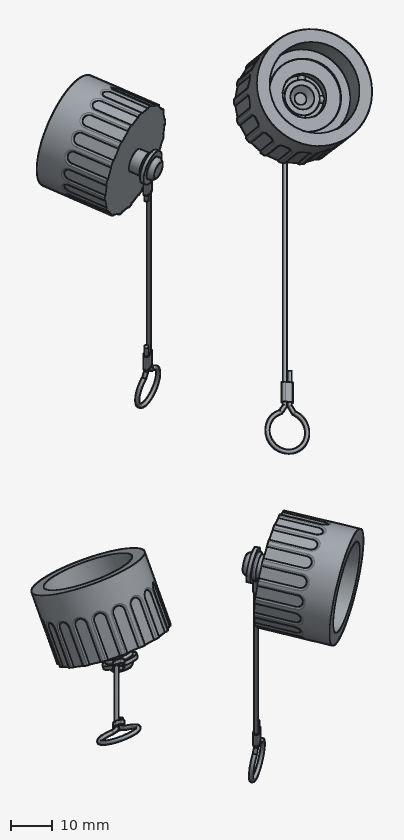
import cadquery as cq
import math

cap_diameter = 29.0
cap_length = 19.0
bore_diameter = 22.6
bore_depth = 7.7
recess_diameter = 18.1
recess_depth = 0.6
pocket_diameter = 11.0
pocket_depth = 2.4

hub_diameter = 8.8
hub_height = 0.6
ridge_count = 4
ridge_radius = 1.0
hub_hole_diameter = 6.0
hub_hole_end_diameter = 3.0
hub_hole_depth = 1.5

slot_count = 18
slot_start = 7.0
slot_floor_width = 3.0
slot_floor_radius = 14.1
slot_wall_angle = 45.0
slot_edge_radius = 0.6

stud_diameter = 6.0
stud_end = 25.5
stud_nose_start = 24.1
stud_tip_diameter = 4.3
washer_diameter = 8.8
washer_start = 22.9
washer_thickness = 1.0

cord_diameter = 1.1
cord_x = 22.5
strand_offset = 0.6
neck_loop_radius = 3.0
end_loop_radius = 5.0
lowest_z = -85.5
crimp_length = 4.9
crimp_width = 2.9
crimp_thickness = 1.5
upper_crimp_top = -4.6
upper_tail_end = -11.8
lower_crimp_top = -67.8
lower_tail_end = -64.9
fork_z = -73.6
fork_half_width = 1.7

lower_crimp_bottom = lower_crimp_top - crimp_length
end_loop_z = lowest_z + end_loop_radius + cord_diameter / 2
recess_floor = bore_depth + recess_depth
pocket_floor = recess_floor + pocket_depth
hub_face = pocket_floor - hub_height


def rod(diameter, start, end):
    """Cylinder on the X axis between two X positions."""
    return cq.Workplane("YZ", origin=(start, 0, 0)).circle(diameter / 2).extrude(end - start)


def grip_slot():
    """Round-ended slot with sloping walls, at the +Z side of the cap."""
    depth = cap_diameter / 2 - slot_floor_radius
    wall_run = depth * math.tan(math.radians(slot_wall_angle))
    half_width = slot_floor_width / 2
    overrun = 2 * half_width
    first_x = slot_start + wall_run
    return (
        cq.Workplane("XY", origin=(0, 0, slot_floor_radius))
        .moveTo(cap_length + overrun, -half_width)
        .lineTo(first_x + half_width, -half_width)
        .threePointArc((first_x, 0), (first_x + half_width, half_width))
        .lineTo(cap_length + overrun, half_width)
        .close()
        .extrude(2 * depth, taper=-slot_wall_angle)
    )


def make_cap():
    cap = rod(cap_diameter, 0, cap_length)
    slot = grip_slot()
    for index in range(slot_count):
        cap = cap.cut(slot.rotate((0, 0, 0), (1, 0, 0), index * 360 / slot_count))
    cap = cap.faces("%CYLINDER").edges("%BSPLINE").fillet(slot_edge_radius)
    cap = cap.cut(rod(bore_diameter, 0, bore_depth))
    cap = cap.cut(rod(recess_diameter, 0, recess_floor))
    cap = cap.cut(rod(pocket_diameter, 0, pocket_floor))
    return cap


def make_hub():
    """Hub with a tapered blind hole and radial ridges reaching the pocket wall."""
    hub = rod(hub_diameter, hub_face, pocket_floor)
    ridge = (
        cq.Workplane("XY", origin=(pocket_floor + ridge_radius - hub_height, 0, 0))
        .circle(ridge_radius)
        .extrude(pocket_diameter / 2)
    )
    for index in range(ridge_count):
        hub = hub.union(ridge.rotate((0, 0, 0), (1, 0, 0), index * 360 / ridge_count))
    return hub


def make_hub_hole():
    return (
        cq.Workplane("YZ", origin=(hub_face, 0, 0))
        .circle(hub_hole_diameter / 2)
        .workplane(offset=hub_hole_depth)
        .circle(hub_hole_end_diameter / 2)
        .loft()
    )


def make_stud():
    """Plain stud with a domed nose and a washer around it."""
    stud = (
        cq.Workplane("XY", origin=(cap_length, 0, 0))
        .lineTo(0, stud_diameter / 2)
        .lineTo(stud_nose_start - cap_length, stud_diameter / 2)
        .tangentArcPoint((stud_end - cap_length, stud_tip_diameter / 2), relative=False)
        .lineTo(stud_end - cap_length, 0)
        .close()
        .revolve(360, (0, 0, 0), (1, 0, 0))
    )
    return stud.union(rod(washer_diameter, washer_start, washer_start + washer_thickness))


def strand(y, bottom, top):
    """Straight vertical length of cord."""
    return cq.Workplane("XY", origin=(cord_x, y, bottom)).circle(cord_diameter / 2).extrude(top - bottom)


def crimp(top):
    """Flattened sleeve holding two strands side by side."""
    return (
        cq.Workplane("XY", origin=(cord_x, 0, top - crimp_length))
        .slot2D(crimp_width, crimp_thickness, 90)
        .extrude(crimp_length)
    )


def make_neck_loop():
    """Ring of cord around the stud."""
    ring = cq.Solid.makeTorus(
        neck_loop_radius, cord_diameter / 2, cq.Vector(cord_x, 0, 0), cq.Vector(1, 0, 0)
    )
    return cq.Workplane(ring)


def make_end_loop():
    """Free loop: a long arc of cord closed by two forking legs with rounded joints."""
    arc_end_z = end_loop_z + math.sqrt(end_loop_radius**2 - fork_half_width**2)
    arc = (
        cq.Workplane("YZ", origin=(cord_x, 0, 0))
        .moveTo(fork_half_width, arc_end_z)
        .threePointArc((0, end_loop_z - end_loop_radius), (-fork_half_width, arc_end_z))
    )
    arc_start = cq.Plane(
        origin=(cord_x, fork_half_width, arc_end_z),
        xDir=(1, 0, 0),
        normal=(0, arc_end_z - end_loop_z, -fork_half_width),
    )
    loop = cq.Workplane(arc_start).circle(cord_diameter / 2).sweep(arc)
    for side in (1, -1):
        fork = cq.Vector(cord_x, side * strand_offset, fork_z)
        arc_end = cq.Vector(cord_x, side * fork_half_width, arc_end_z)
        leg = arc_end - fork
        loop = loop.union(cq.Solid.makeCylinder(cord_diameter / 2, leg.Length, fork, leg))
        for joint in (fork, arc_end):
            loop = loop.union(cq.Workplane(origin=joint.toTuple()).sphere(cord_diameter / 2))
        loop = loop.union(strand(side * strand_offset, fork_z, lower_crimp_bottom))
    return loop


def make_lanyard():
    lanyard = make_neck_loop()
    strand_top = -neck_loop_radius + cord_diameter / 2
    parts = [
        strand(strand_offset, lower_crimp_bottom, strand_top),
        strand(-strand_offset, upper_tail_end, strand_top),
        strand(-strand_offset, lower_crimp_bottom, lower_tail_end),
        crimp(upper_crimp_top),
        crimp(lower_crimp_top),
        make_end_loop(),
    ]
    for part in parts:
        lanyard = lanyard.union(part)
    return lanyard


result = make_cap().union(make_hub()).cut(make_hub_hole()).union(make_stud()).union(make_lanyard())